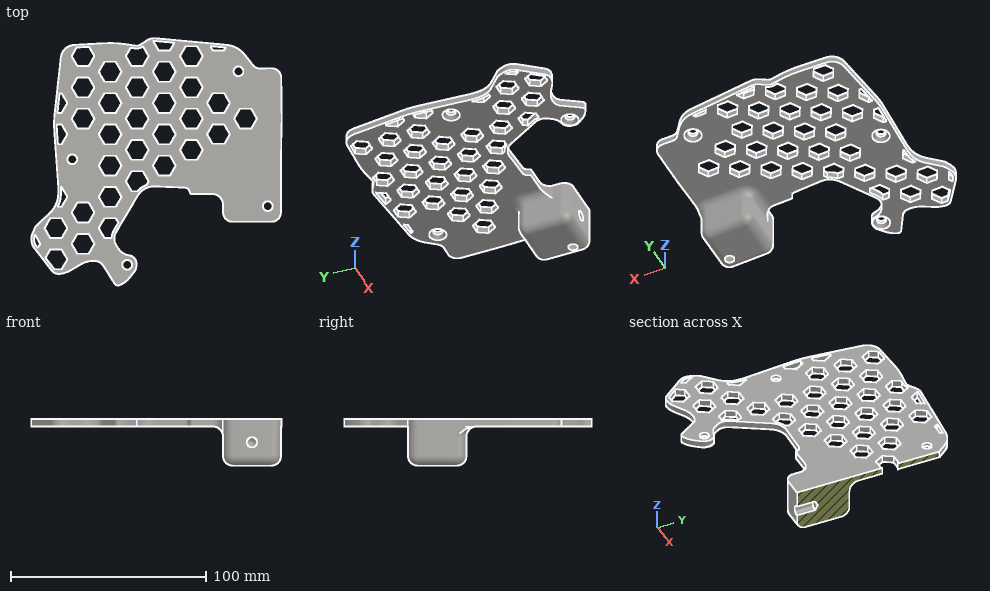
import cadquery as cq
import math

PLATE_THICKNESS = 4.0
TOTAL_HEIGHT = 24.0
RIM_WIDTH = 1.5

BLOCK_LEFT = 98.1
BLOCK_RIGHT = 127.8
BLOCK_FRONT = 32.5
BLOCK_LENGTH = 30.0
BLOCK_ROUNDING = 5.0

OUTLINE_CORNERS = [
    (15.8, 122.8, 7.4),
    (42.8, 124.4, 51.3),
    (54.7, 122.5, 3.8),
    (61.3, 126.8, 6.7),
    (105.6, 122.7, 13.6),
    (114.9, 111.0, 4.6),
    (128.0, 111.4, 5.1),
    (128.2, 84.7, 192.3),
    (BLOCK_RIGHT, 64.1, 192.3),
    (BLOCK_RIGHT, BLOCK_FRONT, BLOCK_ROUNDING),
    (BLOCK_LEFT, BLOCK_FRONT, BLOCK_ROUNDING),
    (BLOCK_LEFT, 46.8, 5.4),
    (81.5, 46.8, 0.9),
    (80.1, 50.0, 2.2),
    (57.4, 50.9, 9.7),
    (41.4, 23.8, 6.7),
    (46.4, 16.3, 7.3),
    (54.0, 14.7, 4.4),
    (53.8, 8.5, 4.5),
    (48.5, 1.5, 12.8),
    (43.6, -0.5, 2.0),
    (35.4, 12.4, 5.1),
    (28.5, 12.7, 12.8),
    (17.7, 6.3, 13.5),
    (12.0, 5.6, 4.6),
    (-1.2, 22.7, 7.4),
    (2.2, 30.3, 5.3),
    (13.6, 41.0, 13.6),
    (13.8, 50.1, 19.2),
    (11.4, 83.3, 51.3),
]

HEX_FLATS = 10.0
HEX_PITCH = 1.6 * HEX_FLATS
HEX_CENTER_X = 54.2
HEX_CENTER_Y = 85.4
HEX_ROWS = {
    -4: [-4],
    -3: [-5, -4, -3, -1, 0],
    -2: [-4, -3, 0, 1, 2],
    -1: [-4, -3, -2, -1, 0, 1],
    0: [-2, -1, 0, 1, 2],
    1: [-2, -1, 0, 1, 2],
    2: [-1, 0, 1, 2],
    3: [-1, 0, 2],
    4: [0],
}

SCREW_DIAMETER = 4.9
SCREW_HEAD_DIAMETER = 9.0
COUNTERSINK_ANGLE = 90
PLATE_SCREWS = [(21.0, 64.6), (106.0, 109.6), (49.1, 10.6)]
BLOCK_SCREW = (121.0, 40.6)

THREAD_MINOR = 5.3
THREAD_MAJOR = 6.4
THREAD_PITCH = 1.3
THREAD_GROOVE_WIDTH = 1.2
THREAD_OVERLAP = 0.3
THREAD_LENGTH = 10.3
THREAD_START_ANGLE = 180
DRILL_TIP_ANGLE = 118


def rounded_outline(corners):
    """Closed wire of straight sides joined by tangent arcs at the given corners."""
    arcs = []
    for i, (x, y, radius) in enumerate(corners):
        corner = cq.Vector(x, y)
        to_previous = (cq.Vector(*corners[i - 1][:2]) - corner).normalized()
        to_next = (cq.Vector(*corners[(i + 1) % len(corners)][:2]) - corner).normalized()
        half_angle = to_previous.getAngle(to_next) / 2
        setback = radius / math.tan(half_angle)
        bisector = (to_previous + to_next).normalized()
        arc_middle = corner + bisector * (radius / math.sin(half_angle) - radius)
        arcs.append((corner + to_previous * setback, arc_middle, corner + to_next * setback))

    last_end = arcs[-1][2]
    path = cq.Workplane("XY").moveTo(last_end.x, last_end.y)
    for start, middle, end in arcs:
        path = path.lineTo(start.x, start.y)
        path = path.threePointArc((middle.x, middle.y), (end.x, end.y))
    return path.close()


def honeycomb():
    """Hexagonal window cutters, trimmed so that a rim remains along the outline."""
    column_step = HEX_PITCH * math.sin(math.radians(60))
    centers = []
    for column, rows in HEX_ROWS.items():
        x = HEX_CENTER_X + column * column_step
        stagger = 0.5 * (column % 2)
        for row in rows:
            centers.append((x, HEX_CENTER_Y + (row + stagger) * HEX_PITCH))
    hexagons = (
        cq.Workplane("XY")
        .pushPoints(centers)
        .polygon(6, HEX_FLATS / math.cos(math.radians(30)))
        .extrude(-PLATE_THICKNESS)
    )
    inside_rim = rounded_outline(OUTLINE_CORNERS).offset2D(-RIM_WIDTH).extrude(-PLATE_THICKNESS)
    return hexagons.intersect(inside_rim)


def mounting_block():
    """Rounded block whose flare into the plate is trimmed to the plate outline."""
    width = BLOCK_RIGHT - BLOCK_LEFT
    flare_margin = 2 * BLOCK_ROUNDING
    block = (
        cq.Workplane("XY", origin=(BLOCK_LEFT, BLOCK_FRONT, -TOTAL_HEIGHT))
        .box(width, BLOCK_LENGTH, TOTAL_HEIGHT, centered=False)
        .edges("|Z")
        .fillet(BLOCK_ROUNDING)
        .faces("<Z")
        .edges()
        .fillet(BLOCK_ROUNDING)
    )
    slab_corner = (BLOCK_LEFT - flare_margin, BLOCK_FRONT - flare_margin, -PLATE_THICKNESS)
    slab = cq.Workplane("XY", origin=slab_corner).box(
        width + 2 * flare_margin, BLOCK_LENGTH + 2 * flare_margin, PLATE_THICKNESS, centered=False
    )
    margin = 1.3
    seam = cq.selectors.BoxSelector(
        (BLOCK_LEFT - margin, BLOCK_FRONT - margin, -PLATE_THICKNESS - margin),
        (BLOCK_RIGHT + margin, BLOCK_FRONT + BLOCK_LENGTH + margin, -PLATE_THICKNESS + margin),
    )
    flared = block.union(slab).edges("#Z").edges(seam).fillet(BLOCK_ROUNDING)
    left_of_wall = cq.Workplane("XY", origin=(0, 0, -TOTAL_HEIGHT)).box(
        BLOCK_RIGHT, BLOCK_FRONT + BLOCK_LENGTH + flare_margin, TOTAL_HEIGHT, centered=False
    )
    inside_outline = rounded_outline(OUTLINE_CORNERS).extrude(-TOTAL_HEIGHT)
    return flared.intersect(inside_outline).intersect(left_of_wall).union(block)


def threaded_hole():
    """Drilled hole with a conical tip and a helical V groove, running along +Y."""
    minor_radius = THREAD_MINOR / 2
    major_radius = THREAD_MAJOR / 2
    tip_length = minor_radius / math.tan(math.radians(DRILL_TIP_ANGLE / 2))
    drill = (
        cq.Workplane("XZ")
        .polyline([(0, 0), (minor_radius, 0), (minor_radius, THREAD_LENGTH), (0, THREAD_LENGTH + tip_length)])
        .close()
        .revolve(360, (0, 0), (0, 1))
    )
    inner_radius = minor_radius - THREAD_OVERLAP
    half_groove = THREAD_GROOVE_WIDTH / 2
    helix = cq.Wire.makeHelix(THREAD_PITCH, THREAD_LENGTH + THREAD_PITCH, inner_radius)
    groove = (
        cq.Workplane("XZ")
        .polyline([(inner_radius, -half_groove), (major_radius, 0), (inner_radius, half_groove)])
        .close()
        .sweep(cq.Workplane(obj=helix), isFrenet=True)
        .translate((0, 0, -THREAD_PITCH))
        .rotate((0, 0, 0), (0, 0, 1), THREAD_START_ANGLE)
    )
    center_x = (BLOCK_LEFT + BLOCK_RIGHT) / 2
    return (
        drill.union(groove)
        .rotate((0, 0, 0), (1, 0, 0), -90)
        .translate((center_x, BLOCK_FRONT, -TOTAL_HEIGHT / 2))
    )


plate = rounded_outline(OUTLINE_CORNERS).extrude(-PLATE_THICKNESS).cut(honeycomb())
plate = (
    plate.faces("<Z")
    .workplane(origin=(0, 0, -PLATE_THICKNESS))
    .pushPoints([(x, -y) for x, y in PLATE_SCREWS])
    .cskHole(SCREW_DIAMETER, SCREW_HEAD_DIAMETER, COUNTERSINK_ANGLE)
)
block_screw_hole = cq.Workplane("XY").center(*BLOCK_SCREW).circle(SCREW_DIAMETER / 2).extrude(-TOTAL_HEIGHT)
result = plate.union(mounting_block()).cut(block_screw_hole).cut(threaded_hole())